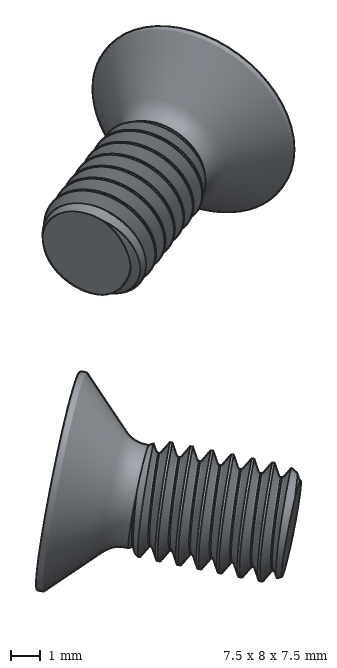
import cadquery as cq
import math

LENGTH = 8.0
HEAD_RADIUS = 3.75
RIM_DEPTH = 0.24
RIM_TOP_ROUND = 0.08
RIM_CONE_ROUND = 0.05
NECK_RADIUS = 1.77
NECK_FILLET = 1.0
NECK_END_DEPTH = 2.77

PITCH = 2.8 / 4
MAJOR_RADIUS = 2.0
ROOT_RADIUS = 1.57
CREST_WIDTH = PITCH / 8
FLANK_ANGLE = math.radians(30)
CORE_RADIUS = 1.572
RIDGE_SINK = 0.05
RIDGE_GAP = 0.03

TIP_RADIUS = 1.71
CHAMFER_ANGLE = math.radians(30)
CHAMFER_MARGIN = 0.16


def revolve_about_axis(outline):
    return outline.close().revolve(360, (0, 0, 0), (0, 1, 0))


def head_and_neck():
    """Flat head with a rounded rim, 45 degree underside and filleted neck."""
    cone_end_radius = NECK_RADIUS + NECK_FILLET * (1 - math.cos(math.pi / 4))
    cone_end_depth = RIM_DEPTH + HEAD_RADIUS - cone_end_radius
    fillet_end_depth = cone_end_depth + NECK_FILLET * math.sin(math.pi / 4)
    fillet_middle = (
        NECK_RADIUS + NECK_FILLET * (1 - math.cos(math.pi / 8)),
        NECK_FILLET * math.sin(math.pi / 8) - fillet_end_depth,
    )
    runout_depth = NECK_END_DEPTH + (NECK_RADIUS - ROOT_RADIUS) / math.tan(CHAMFER_ANGLE)
    outline = (
        cq.Workplane("XZ")
        .lineTo(HEAD_RADIUS, 0)
        .lineTo(HEAD_RADIUS, -RIM_DEPTH)
        .lineTo(cone_end_radius, -cone_end_depth)
        .threePointArc(fillet_middle, (NECK_RADIUS, -fillet_end_depth))
        .lineTo(NECK_RADIUS, -NECK_END_DEPTH)
        .lineTo(ROOT_RADIUS, -runout_depth)
        .lineTo(0, -runout_depth)
    )
    body = revolve_about_axis(outline)
    body = body.faces(">Z").edges().fillet(RIM_TOP_ROUND)
    cone_edge = body.edges(cq.selectors.RadiusNthSelector(-1)).edges("<Z")
    return cone_edge.fillet(RIM_CONE_ROUND)


def thread_ridge():
    """Helical ridge whose flanks curve into a rounded root, its base sunk into the core.

    The ridge passes half a pitch from the tip plane at +X and overruns both ends of
    the thread, so that the chamfering body trims it.
    """
    crest_half = CREST_WIDTH / 2
    base_half = (PITCH - RIDGE_GAP) / 2
    base_radius = ROOT_RADIUS - RIDGE_SINK

    apex_radius = MAJOR_RADIUS - (PITCH / 2 - crest_half) / math.tan(FLANK_ANGLE)
    root_round = ROOT_RADIUS - apex_radius
    arc_center_radius = ROOT_RADIUS + root_round

    def root_arc_point(angle):
        """Radius and height on the root arc, at an angle from the groove bottom."""
        radius = arc_center_radius - root_round * math.cos(angle)
        return (radius, PITCH / 2 - root_round * math.sin(angle))

    tangent_angle = math.pi / 2 - FLANK_ANGLE
    bottom_angle = math.asin(RIDGE_GAP / 2 / root_round)
    flank_end = root_arc_point(tangent_angle)
    arc_middle = root_arc_point((tangent_angle + bottom_angle) / 2)
    arc_end = root_arc_point(bottom_angle)

    def mirrored(point):
        return (point[0], -point[1])

    turns = math.ceil((LENGTH - NECK_END_DEPTH) / PITCH) + 2
    start = -LENGTH - 1.5 * PITCH
    path = cq.Wire.makeHelix(PITCH, turns * PITCH, ROOT_RADIUS, cq.Vector(0, 0, start))
    return (
        cq.Workplane("XZ", origin=(0, 0, start))
        .moveTo(base_radius, -base_half)
        .lineTo(*mirrored(arc_end))
        .threePointArc(mirrored(arc_middle), mirrored(flank_end))
        .lineTo(MAJOR_RADIUS, -crest_half)
        .lineTo(MAJOR_RADIUS, crest_half)
        .lineTo(*flank_end)
        .threePointArc(arc_middle, arc_end)
        .lineTo(base_radius, base_half)
        .close()
        .sweep(cq.Workplane(obj=path), isFrenet=True)
    )


def thread_core():
    core_length = LENGTH - NECK_END_DEPTH
    return cq.Workplane("XY", origin=(0, 0, -LENGTH)).circle(CORE_RADIUS).extrude(core_length)


def chamfering_body():
    """Round body whose end cones chamfer the thread and whose ends trim its length."""
    outer_radius = MAJOR_RADIUS + CHAMFER_MARGIN
    neck_cone = (outer_radius - NECK_RADIUS) / math.tan(CHAMFER_ANGLE)
    tip_cone = (outer_radius - TIP_RADIUS) / math.tan(CHAMFER_ANGLE)
    outline = (
        cq.Workplane("XZ")
        .moveTo(0, -NECK_END_DEPTH)
        .lineTo(NECK_RADIUS, -NECK_END_DEPTH)
        .lineTo(outer_radius, -NECK_END_DEPTH - neck_cone)
        .lineTo(outer_radius, -LENGTH + tip_cone)
        .lineTo(TIP_RADIUS, -LENGTH)
        .lineTo(0, -LENGTH)
    )
    return revolve_about_axis(outline)


thread = chamfering_body().intersect(thread_ridge()).union(thread_core())
upright_screw = thread.union(head_and_neck())
result = upright_screw.rotate((0, 0, 0), (1, 0, 0), -90)